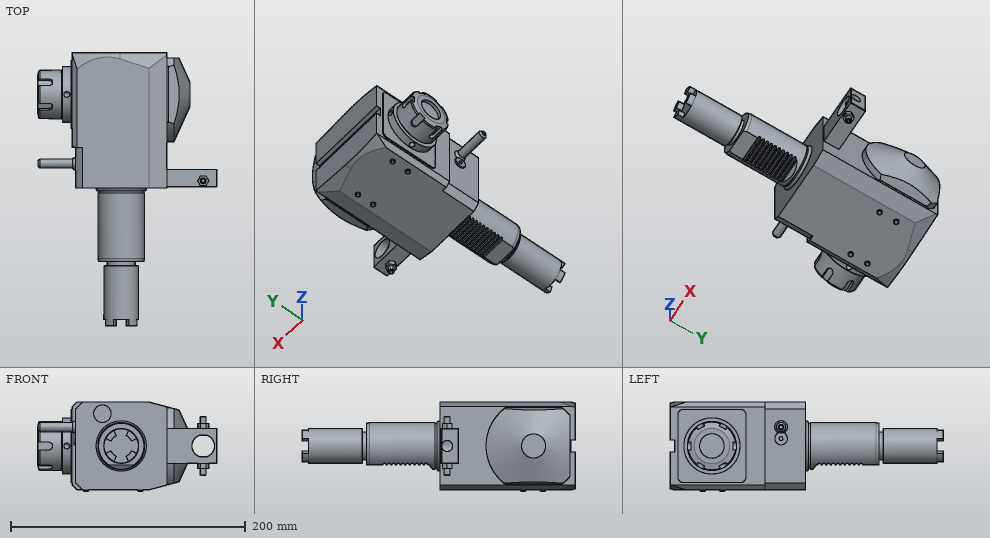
import cadquery as cq
import math


overall_length = 233.5
body_length = 115.8
half_height = 37.5
right_x = 39.0
front_left_x = -39.0
front_chamfer = 6.0
rear_left_x = -42.0
rear_chamfer = 4.2
rear_start_y = 34.8
slope_start_x = 23.8
slope = math.tan(math.radians(15))
notch_depth = 4.0
notch_width = 10.0

roof_tilt = 0.25
roof_apex_x = -11.7
roof_apex_z = 36.7
roof_radius = 135.5
roof_tangent_slope = 0.08
roof_run = 23.4

spindle_y = 80.0
pad_length = 58.2
pad_height = 62.5
pad_radius = 4.7
pad_face_x = -43.0
collar_radius = 24.0
collar_face_x = -50.2
collar_hole_radius = 2.5
collar_hole_depth = 2.3
collar_hole_x = -46.5
collar_hole_count = 4
neck_radius = 18.7
nut_back_x = -51.1
nut_face_x = -71.7
nut_radius = 21.0
nut_edge_radius = 20.3
nut_edge_length = 2.3
nut_face_radius = 15.2
nut_cone_length = 1.2
bore_radius = 10.5
bore_depth = 2.8
nut_slot_count = 6
nut_slot_width = 6.5
nut_slot_end_x = -58.6
nut_slot_floor = 18.0

cover_radius = 40.6
cover_rim_x = 45.0
cover_tip_x = 58.9
cover_tip_radius = 10.3
cover_top_y = 111.5
seam_width = 1.5
seam_depth = 0.5

flange_radius = 21.5
flange_length = 2.5
flange_round = 1.9
shank_groove_radius = 19.5
shank_groove_end = 4.0
shank_radius = 20.0
shank_length = 62.8
shank_chamfer_length = 2.8
shank_chamfer = 0.7
neck_shaft_radius = 12.1
drive_start = 66.0
drive_radius = 15.0
drive_shoulder = 112.3
drive_end = overall_length - body_length
drive_chamfer = 0.5
dog_count = 4
dog_inner_radius = 9.8
dog_half_angle = 19.5

flat_z = -16.0
flat_start = 9.0
flat_ramp = 4.2
tooth_groove_count = 10
tooth_groove_first = 11.7
tooth_pitch = 4.0
tooth_depth = 1.2
tooth_groove_top = 3.0
tooth_groove_bottom = 1.5

nozzle_y = 21.0
nozzle_z = 16.0
nozzle_radius = 4.0
nozzle_tip_x = -71.2
nozzle_tip_chamfer = 1.6
nozzle_ball_radius = 5.5
nozzle_ball_inset = 1.2
nozzle_bore_radius = 1.6
nozzle_bore_depth = 4.7
plug_z = 6.3
plug_radius = 5.4
plug_height = 1.5
plug_hole_radius = 1.6
plug_hole_depth = 2.3

mark_x = -16.0
mark_z = 27.5
mark_radius = 7.5
mark_depth = 0.2

arm_end_x = 82.0
arm_front_y = 1.2
arm_back_y = 16.0
arm_half_height = 15.0
arm_chamfer = 0.5
arm_hole_x = 70.0
arm_hole_radius = 9.5
arm_end_hole_radius = 4.7
screw_y = 6.3
screw_radius = 2.5
screw_inner_z = 8.9
screw_outer_z = 25.2
screw_chamfer = 0.5
socket_corners = 3.3
socket_depth = 3.5
lock_nut_corners = 9.5
lock_nut_top_z = 19.5

rivet_xs = (-30.1, 16.3)
rivet_ys = (71.2, 88.0)
rivet_radius = 2.3
rivet_height = 1.5


def box(x0, x1, y0, y1, z0, z1):
    """Box between two limits on each axis."""
    return cq.Workplane("XY").box(x1 - x0, y1 - y0, z1 - z0, centered=False).translate((x0, y0, z0))


def rod_x(x0, x1, y, z, radius):
    """Cylinder along X."""
    return cq.Workplane("YZ", origin=(x0, y, z)).circle(radius).extrude(x1 - x0)


def slope_z(x):
    """Height of the sloping right side at x."""
    return half_height - slope * (x - slope_start_x)


def body_prism(left_x, chamfer, start_y):
    """Body outline with chamfered left and sloping right corners, from start_y to the back."""
    upper = [
        (left_x, half_height - chamfer),
        (left_x + chamfer, half_height),
        (slope_start_x, half_height),
        (right_x, slope_z(right_x)),
    ]
    lower = [(x, -z) for x, z in reversed(upper)]
    plane = cq.Workplane("XZ", origin=(0, body_length, 0))
    return plane.polyline(upper + lower).close().extrude(body_length - start_y)


def roof_cutter():
    """Material above the curved roof, swept forward and up from the back face."""
    margin = 4.7

    def arc_point(x):
        drop = roof_radius - math.sqrt(roof_radius**2 - (x - roof_apex_x) ** 2)
        return x, roof_apex_z - drop

    left_x = rear_left_x - margin
    tangent_x = roof_apex_x + roof_radius * math.sin(math.atan(roof_tangent_slope))
    tangent_point = arc_point(tangent_x)
    end_x = right_x + margin
    end_z = tangent_point[1] - roof_tangent_slope * (end_x - tangent_x)
    top_z = half_height + margin
    outline = (
        cq.Workplane("XZ", origin=(0, body_length, 0))
        .moveTo(*arc_point(left_x))
        .threePointArc(arc_point(roof_apex_x), tangent_point)
        .lineTo(end_x, end_z)
        .lineTo(end_x, top_z)
        .lineTo(left_x, top_z)
        .close()
    )
    sweep = cq.Vector(0, -roof_run, roof_run * roof_tilt)
    return cq.Workplane(cq.Solid.extrudeLinear(outline.wires().val(), [], sweep))


def make_body():
    body = body_prism(front_left_x, front_chamfer, 0)
    body = body.union(body_prism(rear_left_x, rear_chamfer, rear_start_y))
    roof = roof_cutter()
    body = body.cut(roof).cut(roof.mirror("XY"))
    half_notch = notch_width / 2
    notch = box(
        rear_left_x, right_x, body_length - notch_depth, body_length, -half_notch, half_notch
    )
    mark = (
        cq.Workplane("XZ", origin=(mark_x, 0, mark_z)).circle(mark_radius).extrude(-mark_depth)
    )
    return body.cut(notch).cut(mark)


def make_spindle():
    """Pad, collar and clamping nut, built about the X axis and moved to the spindle."""
    pad = (
        cq.Workplane("YZ", origin=(pad_face_x, 0, 0))
        .rect(pad_length, pad_height)
        .extrude(front_left_x - pad_face_x)
        .edges("|X")
        .fillet(pad_radius)
    )
    edge_x = nut_face_x + nut_cone_length
    profile = [
        (front_left_x, 0),
        (front_left_x, collar_radius),
        (collar_face_x, collar_radius),
        (collar_face_x, neck_radius),
        (nut_back_x, neck_radius),
        (nut_back_x, nut_radius),
        (nut_face_x + nut_edge_length, nut_radius),
        (edge_x, nut_edge_radius),
        (nut_face_x, nut_face_radius),
        (nut_face_x, bore_radius),
        (nut_face_x + bore_depth, bore_radius),
        (nut_face_x + bore_depth, 0),
    ]
    turned = cq.Workplane("XY").polyline(profile).close().revolve(360, (0, 0, 0), (1, 0, 0))
    half_width = nut_slot_width / 2
    slot_center_x = nut_slot_end_x - half_width
    slot = box(
        nut_face_x, slot_center_x, -half_width, half_width, nut_slot_floor, collar_radius
    ).union(
        cq.Workplane("XY", origin=(slot_center_x, 0, nut_slot_floor))
        .circle(half_width)
        .extrude(collar_radius - nut_slot_floor)
    )
    for i in range(nut_slot_count):
        angle = 90 + i * 360 / nut_slot_count
        turned = turned.cut(slot.rotate((0, 0, 0), (1, 0, 0), angle))
    collar_hole = cq.Workplane(
        cq.Solid.makeCone(
            0,
            collar_hole_radius,
            collar_hole_depth,
            cq.Vector(collar_hole_x, 0, collar_radius - collar_hole_depth),
        )
    )
    for i in range(collar_hole_count):
        angle = i * 360 / collar_hole_count
        turned = turned.cut(collar_hole.rotate((0, 0, 0), (1, 0, 0), angle))
    return pad.union(turned).translate((0, spindle_y, 0))


def make_cover():
    """Conical cover trimmed by the body slopes and a flat at the back."""
    profile = [
        (right_x, 0),
        (right_x, cover_radius),
        (cover_rim_x, cover_radius),
        (cover_tip_x, cover_tip_radius),
        (cover_tip_x, 0),
    ]
    cone = cq.Workplane("XY").polyline(profile).close().revolve(360, (0, 0, 0), (1, 0, 0))
    seam_x = right_x + seam_width
    upper = [
        (right_x, slope_z(right_x) - seam_depth),
        (seam_x, slope_z(seam_x) - seam_depth),
        (seam_x, slope_z(seam_x)),
        (cover_tip_x, slope_z(cover_tip_x)),
    ]
    lower = [(x, -z) for x, z in reversed(upper)]
    envelope = (
        cq.Workplane("XZ", origin=(0, cover_top_y, 0))
        .polyline(upper + lower)
        .close()
        .extrude(2 * cover_radius)
    )
    return cone.translate((0, spindle_y, 0)).intersect(envelope)


def tooth_groove(distance):
    """Trapezoidal groove across the shank flat."""
    top = tooth_groove_top / 2
    bottom = tooth_groove_bottom / 2
    points = [
        (-distance - top, flat_z),
        (-distance - bottom, flat_z + tooth_depth),
        (-distance + bottom, flat_z + tooth_depth),
        (-distance + top, flat_z),
    ]
    return cq.Workplane("YZ").polyline(points).close().extrude(shank_radius, both=True)


def make_shank():
    flange = (
        cq.Workplane("XZ")
        .circle(flange_radius)
        .extrude(flange_length)
        .faces("<Y")
        .edges()
        .fillet(flange_round)
    )
    profile = [
        (0, 0),
        (shank_groove_radius, 0),
        (shank_groove_radius, -shank_groove_end),
        (shank_radius, -shank_groove_end),
        (shank_radius, -shank_length + shank_chamfer_length),
        (shank_radius - shank_chamfer, -shank_length),
        (0, -shank_length),
    ]
    shank = cq.Workplane("XY").polyline(profile).close().revolve(360, (0, 0, 0), (0, 1, 0))
    shank = shank.union(flange)
    flat_points = [
        (-flat_start, flat_z),
        (-shank_length, flat_z),
        (-shank_length, -flange_radius),
        (-flat_start + flat_ramp, -flange_radius),
    ]
    flat = cq.Workplane("YZ").polyline(flat_points).close().extrude(shank_radius, both=True)
    shank = shank.cut(flat)
    for i in range(tooth_groove_count):
        shank = shank.cut(tooth_groove(tooth_groove_first + i * tooth_pitch))
    return shank


def dog(angle):
    """One driving dog: a sector of a ring with radial sides."""

    def polar(radius, offset):
        direction = math.radians(angle + offset)
        return radius * math.cos(direction), radius * math.sin(direction)

    return (
        cq.Workplane("XZ", origin=(0, -drive_shoulder, 0))
        .moveTo(*polar(dog_inner_radius, -dog_half_angle))
        .lineTo(*polar(drive_radius, -dog_half_angle))
        .threePointArc(polar(drive_radius, 0), polar(drive_radius, dog_half_angle))
        .lineTo(*polar(dog_inner_radius, dog_half_angle))
        .threePointArc(polar(dog_inner_radius, 0), polar(dog_inner_radius, -dog_half_angle))
        .close()
        .extrude(drive_end - drive_shoulder)
    )


def make_drive_shaft():
    neck_length = drive_start - shank_length
    neck = (
        cq.Workplane("XZ", origin=(0, -shank_length, 0))
        .circle(neck_shaft_radius)
        .extrude(neck_length)
    )
    shaft = (
        cq.Workplane("XZ", origin=(0, -drive_start, 0))
        .circle(drive_radius)
        .extrude(drive_shoulder - drive_start)
        .faces(">Y")
        .chamfer(drive_chamfer)
        .union(neck)
    )
    for i in range(dog_count):
        shaft = shaft.union(dog((i + 0.5) * 360 / dog_count))
    return shaft


def make_nozzle():
    ball = cq.Workplane("XY").sphere(nozzle_ball_radius)
    ball = ball.translate((front_left_x + nozzle_ball_inset, nozzle_y, nozzle_z))
    tube = rod_x(nozzle_tip_x, front_left_x, nozzle_y, nozzle_z, nozzle_radius)
    tube = tube.faces("<X").chamfer(nozzle_tip_chamfer)
    bore_end_x = nozzle_tip_x + nozzle_bore_depth
    bore = rod_x(nozzle_tip_x, bore_end_x, nozzle_y, nozzle_z, nozzle_bore_radius)
    return tube.union(ball).cut(bore)


def make_plug():
    """Plug beside the nozzle, and the hole through it into the body."""
    face_x = front_left_x - plug_height
    plug = rod_x(face_x, front_left_x, nozzle_y, plug_z, plug_radius)
    hole = rod_x(face_x, face_x + plug_hole_depth, nozzle_y, plug_z, plug_hole_radius)
    return plug, hole


def make_arm():
    """Arm with an eye, a hole to its end face and two opposed set screws with lock nuts."""
    arm = box(
        right_x, arm_end_x, arm_front_y, arm_back_y, -arm_half_height, arm_half_height
    )
    arm = arm.faces(">X").chamfer(arm_chamfer)
    eye = (
        cq.Workplane("XZ", origin=(arm_hole_x, arm_back_y, 0))
        .circle(arm_hole_radius)
        .extrude(arm_back_y - arm_front_y)
    )
    end_hole = rod_x(arm_hole_x, arm_end_x, screw_y, 0, arm_end_hole_radius)
    arm = arm.cut(eye).cut(end_hole)
    screw = (
        cq.Workplane("XY", origin=(arm_hole_x, screw_y, screw_inner_z))
        .circle(screw_radius)
        .extrude(screw_outer_z - screw_inner_z)
        .edges("%CIRCLE")
        .chamfer(screw_chamfer)
    )
    socket = (
        cq.Workplane("XY", origin=(arm_hole_x, screw_y, screw_outer_z - socket_depth))
        .polygon(6, socket_corners)
        .extrude(socket_depth)
    )
    lock_nut = (
        cq.Workplane("XY", origin=(arm_hole_x, screw_y, arm_half_height))
        .polygon(6, lock_nut_corners)
        .extrude(lock_nut_top_z - arm_half_height)
    )
    fastener = screw.union(lock_nut).cut(socket)
    return arm.union(fastener).union(fastener.mirror("XY"))


def make_rivets():
    centers = [(x, y) for x in rivet_xs for y in rivet_ys]
    rivets = (
        cq.Workplane("XY", origin=(0, 0, -half_height - rivet_height))
        .pushPoints(centers)
        .circle(rivet_radius)
        .extrude(2 * rivet_height)
    )
    return rivets.faces("<Z").chamfer(rivet_height / 2)


plug_body, plug_hole = make_plug()

result = (
    make_body()
    .union(make_spindle())
    .union(make_cover())
    .union(make_shank())
    .union(make_drive_shaft())
    .union(make_nozzle())
    .union(plug_body)
    .cut(plug_hole)
    .union(make_arm())
    .union(make_rivets())
)